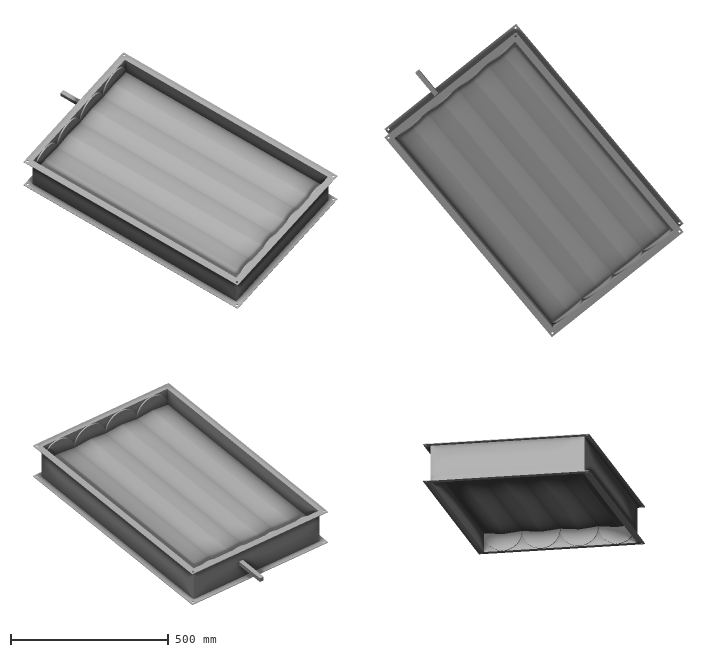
import cadquery as cq

FRAME_LENGTH = 840.0
FRAME_WIDTH = 540.0
FRAME_HEIGHT = 124.0
SHEET = 1.95
WALL_LENGTH = 800.0
HOLE_DIAMETER = 6.5
HOLE_INSET = 9.0

BLADE_COUNT = 4
BLADE_GAP = 0.22
RIDGE_WIDTH = 3.0
RIDGE_THICKNESS = 15.0
SEAM_THICKNESS = 3.0
DISC_CLEARANCE = 0.7
DISC_THICKNESS = 5.0

PIVOT_SIZE = RIDGE_THICKNESS
DRIVEN_BLADE = 2
OVERALL_LENGTH = 930.0

flange_reach = (FRAME_LENGTH - WALL_LENGTH) / 2
wall_width = FRAME_WIDTH - 2 * flange_reach
opening_length = WALL_LENGTH - 2 * SHEET
opening_width = wall_width - 2 * SHEET
blade_pitch = (opening_width - 2 * BLADE_GAP) / BLADE_COUNT
disc_diameter = blade_pitch - DISC_CLEARANCE
blade_axes = [(i - (BLADE_COUNT - 1) / 2) * blade_pitch for i in range(BLADE_COUNT)]
pivot_depth = SHEET + DISC_THICKNESS
handle_start = FRAME_LENGTH / 2 - OVERALL_LENGTH
handle_end = -WALL_LENGTH / 2 + pivot_depth


def make_pivots():
    """Pins through both end walls on every blade axis; the driven blade has the handle bar at -X."""
    pivots = []
    for i, y in enumerate(blade_axes):
        far_plane = cq.Workplane("YZ", origin=(WALL_LENGTH / 2, y, 0))
        pivots.append(far_plane.circle(PIVOT_SIZE / 2).extrude(-pivot_depth))
        if i == DRIVEN_BLADE:
            handle_plane = cq.Workplane("YZ", origin=(handle_start, y, 0))
            pivots.append(handle_plane.rect(PIVOT_SIZE, PIVOT_SIZE).extrude(handle_end - handle_start))
        else:
            near_plane = cq.Workplane("YZ", origin=(-WALL_LENGTH / 2, y, 0))
            pivots.append(near_plane.circle(PIVOT_SIZE / 2).extrude(pivot_depth))
    return pivots


def make_frame(pivots):
    """Open box with two flanges, corner bolt holes, and openings for the pivots."""
    frame = cq.Workplane("XY").box(WALL_LENGTH, wall_width, FRAME_HEIGHT)
    flange_offset = (FRAME_HEIGHT - SHEET) / 2
    for z in (-flange_offset, flange_offset):
        flange = cq.Workplane("XY", origin=(0, 0, z)).box(FRAME_LENGTH, FRAME_WIDTH, SHEET)
        frame = frame.union(flange)
    frame = frame.cut(cq.Workplane("XY").box(opening_length, opening_width, FRAME_HEIGHT))

    bolt_holes = (
        cq.Workplane("XY")
        .rect(FRAME_LENGTH - 2 * HOLE_INSET, FRAME_WIDTH - 2 * HOLE_INSET, forConstruction=True)
        .vertices()
        .circle(HOLE_DIAMETER / 2)
        .extrude(FRAME_HEIGHT / 2, both=True)
    )
    frame = frame.cut(bolt_holes)
    for pivot in pivots:
        frame = frame.cut(pivot)
    return frame


def make_blade(y):
    """One blade along X: thick at a narrow flat ridge, tapering to thin seams on both long edges."""
    seam_y = blade_pitch / 2
    ridge_y = RIDGE_WIDTH / 2
    seam_z = SEAM_THICKNESS / 2
    ridge_z = RIDGE_THICKNESS / 2
    outline = [
        (-seam_y, -seam_z),
        (-ridge_y, -ridge_z),
        (ridge_y, -ridge_z),
        (seam_y, -seam_z),
        (seam_y, seam_z),
        (ridge_y, ridge_z),
        (-ridge_y, ridge_z),
        (-seam_y, seam_z),
    ]
    plane = cq.Workplane("YZ", origin=(-opening_length / 2, y, 0))
    return plane.polyline(outline).close().extrude(opening_length)


def make_disc(x, y):
    """End disc whose -X face is at x."""
    return cq.Workplane("YZ", origin=(x, y, 0)).circle(disc_diameter / 2).extrude(DISC_THICKNESS)


def make_blade_pack(pivots):
    """All blades with their end discs and pivots, as one solid."""
    pack = make_blade(blade_axes[0])
    for y in blade_axes[1:]:
        pack = pack.union(make_blade(y))
    for y in blade_axes:
        for x in (-opening_length / 2, opening_length / 2 - DISC_THICKNESS):
            pack = pack.union(make_disc(x, y))
    for pivot in pivots:
        pack = pack.union(pivot)
    return pack


pivot_bars = make_pivots()
frame_body = make_frame(pivot_bars)
blade_pack = make_blade_pack(pivot_bars)

result = cq.Compound.makeCompound([frame_body.solids().val(), blade_pack.solids().val()])